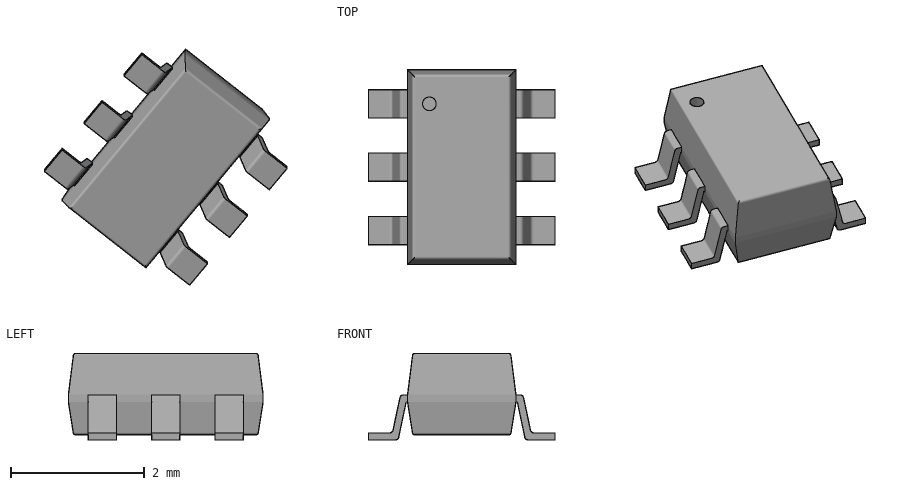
import cadquery as cq
import math


span_x = 2.8
body_length = 2.92
body_width = 1.625
body_top = 1.3
body_bottom = 0.075

lead_thickness = 0.108
lead_width = 0.425
lead_pitch = 0.95
lead_top = 0.677
leads_per_side = 3
shoulder_length = 0.105
lean_angle = 12
bend_radius = 0.053

draft_inset = 0.08
rim_radius = 0.04
mark_diameter = 0.205
mark_depth = 0.205
mark_x = -0.485
mark_y = lead_pitch

band_top = lead_top
band_bottom = lead_top - lead_thickness


def make_draft_half(start_z, height):
    """Tapered block from the band to the top or bottom face; negative height goes down."""
    taper = math.degrees(math.atan2(draft_inset, abs(height)))
    return (
        cq.Workplane("XY")
        .workplane(offset=start_z)
        .rect(body_width, body_length)
        .extrude(height, taper=taper)
    )


def make_body():
    """Moulded body: straight band, drafted halves, rounded rims and pin-one mark."""
    band = (
        cq.Workplane("XY")
        .workplane(offset=band_bottom)
        .rect(body_width, body_length)
        .extrude(lead_thickness)
    )
    upper = make_draft_half(band_top, body_top - band_top)
    lower = make_draft_half(band_bottom, body_bottom - band_bottom)
    body = band.union(upper).union(lower)
    body = body.faces(">Z or <Z").edges().fillet(rim_radius)
    mark = (
        cq.Workplane("XY")
        .workplane(offset=body_top - mark_depth)
        .center(mark_x, mark_y)
        .circle(mark_diameter / 2)
        .extrude(mark_depth)
    )
    return body.cut(mark)


def make_lead(center_y):
    """Gull-wing lead on the +X side, butted against the parting band."""
    lean = math.radians(lean_angle)
    body_face = body_width / 2
    tip = span_x / 2
    miter = lead_thickness * math.tan(math.pi / 4 - lean / 2)
    outer_shoulder = body_face + shoulder_length
    inner_shoulder = outer_shoulder - miter
    foot_corner = outer_shoulder + (lead_top - lead_thickness) * math.tan(lean)
    heel = foot_corner - miter

    profile = [
        (body_face, lead_top),
        (outer_shoulder, lead_top),
        (foot_corner, lead_thickness),
        (tip, lead_thickness),
        (tip, 0),
        (heel, 0),
        (inner_shoulder, band_bottom),
        (body_face, band_bottom),
    ]
    lead = (
        cq.Workplane("XZ", origin=(0, center_y, 0))
        .polyline(profile)
        .close()
        .extrude(lead_width / 2, both=True)
    )
    rounded_corners = [(outer_shoulder, lead_top), (foot_corner, lead_thickness), (heel, 0)]
    for corner_x, corner_z in rounded_corners:
        bend = cq.selectors.NearestToPointSelector((corner_x, center_y, corner_z))
        lead = lead.edges("|Y").edges(bend).fillet(bend_radius)
    return lead


body = make_body()

leads = []
for index in range(leads_per_side):
    lead_y = (index - (leads_per_side - 1) / 2) * lead_pitch
    right_lead = make_lead(lead_y)
    left_lead = right_lead.mirror("YZ")
    leads += [right_lead.val(), left_lead.val()]

result = cq.Compound.makeCompound([body.val(), *leads])